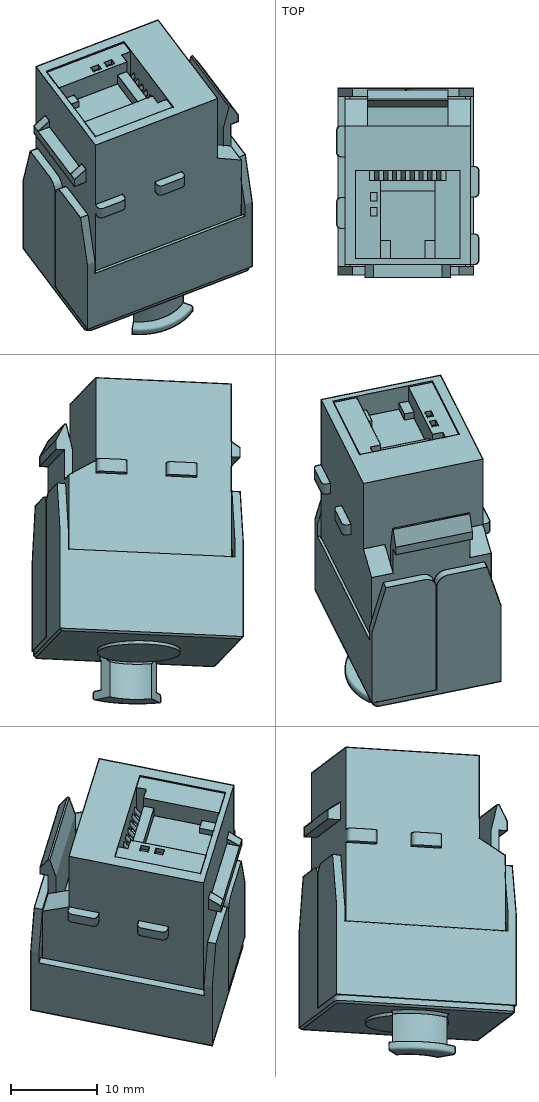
import cadquery as cq
import math


cover_left = -8.07
cover_right = 7.6
cover_half_depth = 10.8
flap_thickness = 1.0
cover_side_top = 9.65
flap_slope_start = 11.52
flap_top = 17.8
flap_slope_run = 1.7
flap_round = 1.4
seam_x = -0.2
seam_gap = 0.1
base_thickness = 0.9
base_right = 7.35
base_corner_radius = 0.7
base_edge_chamfer = 0.25
cavity_floor = 1.75

cable_x = 0.18
boss_radius = 4.8
boss_y = -0.2
boss_height = 0.4
clamp_inner_radius = 4.25
clamp_outer_radius = 5.67
clamp_bottom = -4.93
clamp_half_angle = 35.4
clamp_mouth_height = 0.4
clamp_root_flare = 0.25
flange_radius = 6.9
flange_height = 1.02
flange_rounding = 0.3

housing_half_width = 7.25
housing_half_depth = 9.6
housing_top = 30.3
shoulder_y = 6.45
shoulder_top = 20.5
shoulder_bottom = 18.67
foot_top = 10.78
foot_half_width = 6.7
foot_half_depth = cover_half_depth - flap_thickness

latch_half_width = 4.65
latch_thickness = 0.95
latch_slot_floor = 14.1
catch_bottom = 22.2
catch_top = 23.32
latch_reach = 10.57
latch_tip_top = 25.22
latch_tip_width = 0.2
hook_half_width = 4.95
hook_reach = 11.1
hook_ear_width = 1.02
hook_ear_top = 24.3
stop_span = 16.45
stop_reach = stop_span / 2
stop_bottom = 19.02
stop_height = 1.5
stop_length = 3.55
stop_rounding = 0.53
left_stop_centres = (4.65, -3.63)
right_stop_centres = (0.0, stop_length / 2 - housing_half_depth)

insert_half_width = 6.02
insert_back = 1.3
insert_front = -8.88
insert_recess = 0.2
insert_height = 5.65
insert_top = housing_top - insert_recess
socket_half_width = 3.15
socket_back = 0.15
socket_depth = 3.03
ledge_front = -1.1
ledge_depth = 1.6
post_width = 1.15
post_back = -6.8
post_depth = 2.1
comb_half_width = 4.4
contact_count = 8
contact_pitch = 1.02
contact_radius = 0.25
comb_depth = 4.93
contact_back_depth = 3.25
window_left = -4.3
window_width = 0.75
window_length = 1.0
window_depth = 0.7
window_fronts = (-2.22, -3.98)


def block(x_min, x_max, y_min, y_max, z_min, z_max):
    """Box between two opposite corners."""
    size = (x_max - x_min, y_max - y_min, z_max - z_min)
    return cq.Workplane("XY").box(*size, centered=False).translate((x_min, y_min, z_min))


def side_profile(points, half_width):
    """Extrude a (y, z) outline symmetrically about the middle of the width."""
    return cq.Workplane("YZ").polyline(points).close().extrude(half_width, both=True)


def housing_shell():
    shell = side_profile(
        [
            (-housing_half_depth, cavity_floor),
            (-housing_half_depth, housing_top),
            (shoulder_y, housing_top),
            (shoulder_y, shoulder_top),
            (housing_half_depth, shoulder_bottom),
            (housing_half_depth, cavity_floor),
        ],
        housing_half_width,
    )
    foot = block(
        -foot_half_width, foot_half_width, -foot_half_depth, foot_half_depth, cavity_floor, foot_top
    )
    return shell.union(foot)


def latch_slot():
    return block(
        -latch_half_width, latch_half_width,
        shoulder_y, housing_half_depth - latch_thickness,
        latch_slot_floor, housing_top,
    )


def latch_arm():
    outer = housing_half_depth
    inner = outer - latch_thickness
    return side_profile(
        [
            (inner, latch_slot_floor),
            (inner, catch_bottom),
            (outer - latch_tip_width, latch_tip_top),
            (outer, latch_tip_top),
            (latch_reach, catch_top),
            (latch_reach, catch_bottom),
            (outer, catch_bottom),
            (outer, latch_slot_floor),
        ],
        latch_half_width,
    )


def fixed_hook():
    """Front ledge with a sloped ear at each end."""
    root = -housing_half_depth
    ears = side_profile(
        [(root, catch_bottom), (root, hook_ear_top), (-hook_reach, catch_top), (-hook_reach, catch_bottom)],
        hook_half_width,
    )
    ear_inner = hook_half_width - hook_ear_width
    between_ears = block(-ear_inner, ear_inner, -hook_reach, root, catch_top, hook_ear_top)
    return ears.cut(between_ears)


def side_stop(side, y_centre):
    """Stop block on one side wall, with its two outer corners rounded."""
    x_min, x_max = sorted((side * housing_half_width, side * stop_reach))
    stop = block(
        x_min, x_max,
        y_centre - stop_length / 2, y_centre + stop_length / 2,
        stop_bottom, stop_bottom + stop_height,
    )
    outer_corners = "|Z and >X" if side > 0 else "|Z and <X"
    return stop.edges(outer_corners).fillet(stop_rounding)


def insert_pocket():
    return block(
        -insert_half_width, insert_half_width, insert_front, insert_back,
        insert_top - insert_height, housing_top,
    )


def make_housing():
    housing = housing_shell().cut(latch_slot()).union(latch_arm()).union(fixed_hook())
    for y_centre in left_stop_centres:
        housing = housing.union(side_stop(-1, y_centre))
    for y_centre in right_stop_centres:
        housing = housing.union(side_stop(1, y_centre))
    return housing.cut(insert_pocket())


def contact_wire(x):
    """Round wire rising from the front of the comb floor to its back wall."""
    front = cq.Vector(x, socket_back, insert_top - comb_depth)
    slope = cq.Vector(x, insert_back, insert_top - contact_back_depth) - front
    overrun = slope.normalized() * (2 * contact_radius)
    length = slope.Length + 2 * overrun.Length
    return cq.Workplane(cq.Solid.makeCylinder(contact_radius, length, front - overrun, slope))


def contact_comb():
    """Deep recess behind the socket, crossed by a row of contact wires."""
    floor = insert_top - comb_depth
    comb = block(-comb_half_width, comb_half_width, socket_back, insert_back, floor, insert_top)
    first_x = -contact_pitch * (contact_count - 1) / 2
    for index in range(contact_count):
        comb = comb.cut(contact_wire(first_x + index * contact_pitch))
    return comb


def socket_opening():
    floor = insert_top - socket_depth
    opening = block(-socket_half_width, socket_half_width, insert_front, socket_back, floor, insert_top)
    ledge = block(
        -socket_half_width, socket_half_width, ledge_front, socket_back, floor, insert_top - ledge_depth
    )
    opening = opening.cut(ledge)
    for x_min in (-socket_half_width, socket_half_width - post_width):
        post = block(x_min, x_min + post_width, insert_front, post_back, floor, insert_top - post_depth)
        opening = opening.cut(post)
    return opening


def make_insert():
    insert = block(
        -insert_half_width, insert_half_width, insert_front, insert_back,
        insert_top - insert_height, insert_top,
    )
    insert = insert.cut(contact_comb()).cut(socket_opening())
    for front in window_fronts:
        window = block(
            window_left, window_left + window_width, front, front + window_length,
            insert_top - window_depth, insert_top,
        )
        insert = insert.cut(window)
    return insert


def cover_half(outer_x, inner_x, bottom):
    """One cover: a side wall and floor, with a flap at the front and the back."""
    inward = math.copysign(1, inner_x - outer_x)
    flap_corner_x = outer_x + inward * flap_slope_run
    arc_x = inner_x - inward * flap_round * (1 - math.sqrt(0.5))
    arc_z = flap_top - flap_round * (1 - math.sqrt(0.5))
    cover = (
        cq.Workplane("XZ")
        .moveTo(outer_x, bottom)
        .lineTo(outer_x, flap_slope_start)
        .lineTo(flap_corner_x, flap_top)
        .lineTo(inner_x - inward * flap_round, flap_top)
        .threePointArc((arc_x, arc_z), (inner_x, flap_top - flap_round))
        .lineTo(inner_x, bottom)
        .close()
        .extrude(cover_half_depth, both=True)
    )
    between_flaps = block(
        cover_left, cover_right, -foot_half_depth, foot_half_depth, cover_side_top, flap_top
    )
    cavity = block(
        -housing_half_width, housing_half_width, -foot_half_depth, foot_half_depth,
        cavity_floor, cover_side_top,
    )
    return cover.cut(between_flaps).cut(cavity)


def base_plate():
    """Floor under both covers, rounded at its free corners."""
    plate = block(cover_left, base_right, -cover_half_depth, cover_half_depth, 0, base_thickness)
    return plate.edges("|Z and >X").fillet(base_corner_radius)


def clamp_sector(profile):
    """Sweep an (r, z) outline through the clamp angle, centred on the +X direction."""
    sector = (
        cq.Workplane("XZ").polyline(profile).close()
        .revolve(2 * clamp_half_angle, (0, 0, 0), (0, 1, 0))
    )
    return sector.rotate((0, 0, 0), (0, 0, 1), -clamp_half_angle)


def cable_clamp():
    """Part-round sleeve below the base, with a rounded flange at its lower end."""
    sleeve = clamp_sector(
        [
            (clamp_inner_radius, clamp_bottom),
            (clamp_inner_radius, -boss_height - clamp_mouth_height),
            (boss_radius, -boss_height),
            (boss_radius, 0),
            (clamp_outer_radius + clamp_root_flare, 0),
            (clamp_outer_radius, -boss_height),
            (clamp_outer_radius, clamp_bottom),
        ]
    )
    flange_top = clamp_bottom + flange_height
    flange = clamp_sector(
        [
            (clamp_inner_radius, clamp_bottom),
            (clamp_inner_radius, flange_top),
            (flange_radius, flange_top),
            (flange_radius, clamp_bottom),
        ]
    )
    rim = cq.selectors.RadiusNthSelector(-1)
    flange = flange.edges("%CIRCLE").edges(rim).fillet(flange_rounding)
    return sleeve.union(flange).translate((cable_x, 0, 0))


def make_left_cover():
    cover = cover_half(cover_left, seam_x - seam_gap / 2, 0).union(base_plate())
    cover = cover.faces("<Z").edges().chamfer(base_edge_chamfer)
    boss = cq.Workplane("XY").center(cable_x, boss_y).circle(boss_radius).extrude(-boss_height)
    return cover.union(boss).union(cable_clamp())


def make_right_cover():
    return cover_half(cover_right, seam_x + seam_gap / 2, base_thickness)


housing = make_housing()
insert = make_insert()
left_cover = make_left_cover()
right_cover = make_right_cover()

result = cq.Compound.makeCompound(
    [housing.val(), insert.val(), left_cover.val(), right_cover.val()]
)